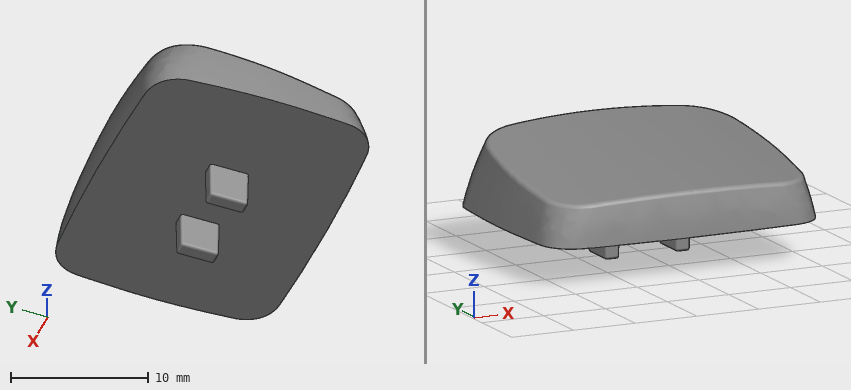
import cadquery as cq
import math

base_width = 22.73
base_depth = 18.0
base_side_bow = 0.52
base_end_bow = 0.45
base_corner_radius = 2.27

top_tilt = 9.3
crown_height = 4.7
top_half_width = 10.48
top_back = 7.82
top_front = -8.43
top_side_bow = 0.8
top_back_bow = 0.89
top_front_bow = 0.65
top_side_taper = 0.32
top_back_corner_radius = 3.0
top_front_corner_radius = 2.5

side_linear_share = 0.8
end_linear_share = 0.0

crown_radius = 104.55
edge_fillet = 0.43
loft_levels = (0.0, 0.35, 0.7, 1.1)

leg_spacing = 5.73
leg_width = 1.2
leg_depth = 3.05
leg_length = 2.98
leg_draft = 1.0
leg_fillet = 0.2


def blend(start, end, level, linear_share=1.0):
    """Value at a level, going from start at the base to end at the crown plane."""
    progress = linear_share * level + (1 - linear_share) * level**2
    return start + (end - start) * progress


def rounded_corner(x, y, side_bow, end_bow, half_depth, radius):
    """Start, middle and end of a rounded corner at (x, y), each as a point and its direction.

    It runs from the end edge to the side edge of a right-hand corner. Both edges bow outwards
    along parabolas, which set the directions where the corner meets them.
    """
    end_slope = 2 * end_bow * (1 - radius / x) / x
    side_slope = 2 * side_bow * (1 - radius / half_depth) / half_depth
    end_rise = end_bow * (1 - (1 - radius / x) ** 2)
    side_rise = side_bow * (1 - (1 - radius / half_depth) ** 2)
    setback = radius * (1 - math.sqrt(0.5))
    outward = math.copysign(1, y)

    points = [
        (x - radius, y + outward * end_rise),
        (x - setback + side_rise / 2, y - outward * (setback - end_rise / 2)),
        (x + side_rise, y - outward * radius),
    ]
    directions = [(1, -outward * end_slope), (1, -outward), (side_slope, -outward)]
    return list(zip(points, directions))


def unit(x, y):
    length = math.hypot(x, y)
    return (x / length, y / length)


def cap_section(level):
    """Closed outline with bowed sides and rounded corners, tilted in step with its level."""
    slope = math.tan(math.radians(top_tilt)) * level
    stretch = math.hypot(1, slope)
    half_width = blend(base_width / 2, top_half_width, level, side_linear_share)
    back = stretch * blend(base_depth / 2, top_back, level, end_linear_share)
    front = stretch * blend(-base_depth / 2, top_front, level, end_linear_share)
    side_bow = blend(base_side_bow, top_side_bow, level)
    back_bow = blend(base_end_bow, top_back_bow, level)
    front_bow = blend(base_end_bow, top_front_bow, level)
    back_radius = blend(base_corner_radius, top_back_corner_radius, level)
    front_radius = blend(base_corner_radius, top_front_corner_radius, level)

    corner_x = half_width - side_bow
    taper = top_side_taper * level
    half_depth = (back - front) / 2
    front_corner = rounded_corner(
        corner_x + taper, front + front_bow, side_bow - taper, front_bow, half_depth, front_radius
    )
    back_corner = rounded_corner(
        corner_x - taper, back - back_bow, side_bow + taper, back_bow, half_depth, back_radius
    )
    front_middle = ((0, front), (1, 0))
    side_middle = ((half_width, (back + front) / 2), (-taper / half_depth, 1))
    back_middle = ((0, back), (-1, 0))
    back_corner_reversed = [(point, (-dx, -dy)) for point, (dx, dy) in reversed(back_corner)]
    right_half = [front_middle, *front_corner, side_middle, *back_corner_reversed, back_middle]
    right_points = [point for point, _ in right_half]
    right_directions = [unit(*direction) for _, direction in right_half]
    left_points = [(-x, y) for x, y in reversed(right_points)]
    left_directions = [(dx, -dy) for dx, dy in reversed(right_directions)]

    plane = cq.Plane(origin=(0, 0, crown_height * level), xDir=(1, 0, 0), normal=(0, -slope, 1))
    return (
        cq.Workplane(plane)
        .spline(right_points, tangents=right_directions, scale=False)
        .spline(left_points, tangents=left_directions, scale=False)
        .wire()
        .val()
    )


def make_cap():
    body = cq.Workplane(cq.Solid.makeLoft([cap_section(level) for level in loft_levels]))
    crown = (
        cq.Workplane("XZ", origin=(0, base_depth, 0))
        .center(0, -crown_radius)
        .circle(crown_radius)
        .extrude(2 * base_depth)
        .rotate((0, 0, 0), (1, 0, 0), top_tilt)
        .translate((0, 0, crown_height))
    )
    return body.intersect(crown).faces(">Z").edges().fillet(edge_fillet)


def make_leg(x):
    return (
        cq.Workplane("XY", origin=(x, 0, 0))
        .rect(leg_width, leg_depth)
        .extrude(-leg_length, taper=leg_draft)
        .edges("not >Z")
        .fillet(leg_fillet)
    )


result = make_cap()
for x in (-leg_spacing / 2, leg_spacing / 2):
    result = result.union(make_leg(x))